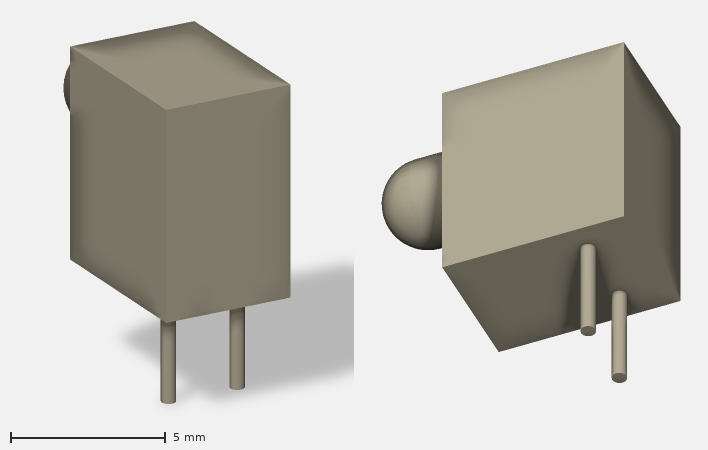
import cadquery as cq

total_length = 9.4
total_height = 10.9

housing_length = 6.4
housing_width = 4.6
housing_height = 7.4

lens_diameter = 3.0
lens_drop = 2.4

pin_diameter = 0.5
pin_pitch = 2.54
pin_setback = 1.7

lens_radius = lens_diameter / 2
lens_barrel_length = total_length - housing_length - lens_radius
lens_axis_z = housing_height - lens_drop
pin_length = total_height - housing_height
pin_x = housing_length - pin_setback


def make_housing():
    """Plain block with its front face at X = 0 and its underside at Z = 0."""
    return cq.Workplane("XY").box(
        housing_length, housing_width, housing_height, centered=(False, True, False)
    )


def make_lens():
    """Cylindrical barrel pointing along -X, closed by a hemisphere."""
    barrel = (
        cq.Workplane("YZ")
        .center(0, lens_axis_z)
        .circle(lens_radius)
        .extrude(-lens_barrel_length)
    )
    dome = (
        cq.Workplane("XY")
        .sphere(lens_radius)
        .translate((-lens_barrel_length, 0, lens_axis_z))
    )
    return barrel.union(dome)


def make_pins():
    """Pair of pins hanging from the underside, spaced across Y."""
    return (
        cq.Workplane("XY")
        .pushPoints([(pin_x, side * pin_pitch / 2) for side in (-1, 1)])
        .circle(pin_diameter / 2)
        .extrude(-pin_length)
    )


result = make_housing().union(make_lens()).union(make_pins())